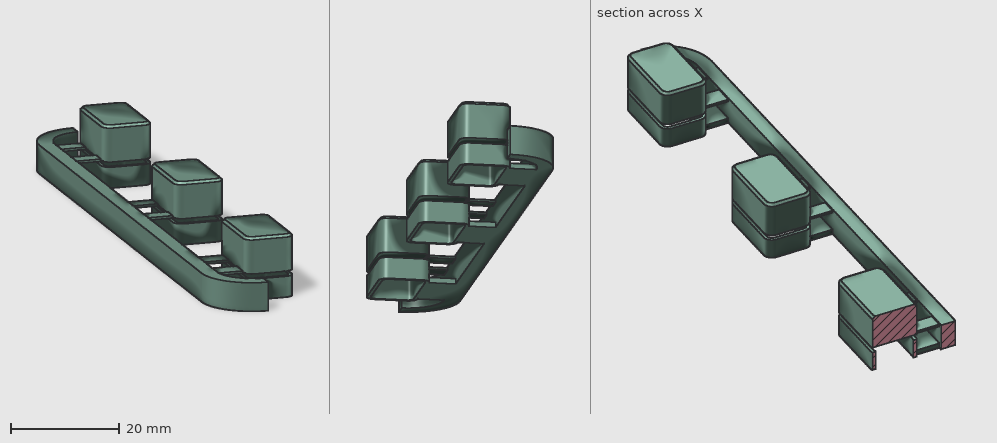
import cadquery as cq

BAR_LENGTH = 114.4
BAR_HEIGHT = 5.5
BAR_THICKNESS = 3.0
BEND_RADIUS = 9.7

TOTAL_DEPTH = 17.49
TOTAL_HEIGHT = 12.0
JAW_WIDTH = 15.4
JAW_FRONT = 8.0
JAW_CORNER_RADIUS = 1.7
TOP_CHAMFER = 0.5
LOWER_JAW_TOP = 4.0
JAW_GAP = 1.0
LOWER_JAW_WALL = 0.7

LINK_WIDTH = 11.8
STRAP_TOP = 5.25
STRAP_THICKNESS = 0.45
PLATE_THICKNESS = 1.0
LINK_OVERLAP = 0.5

CLIPS = [(-41.5, 5.85), (0.5, 5.85), (41.5, 4.5)]


def make_bar():
    """Straight bar whose ends bend back through a quarter circle."""
    end_x = BAR_LENGTH / 2
    bend_x = end_x - BEND_RADIUS
    inner_end_x = end_x - BAR_THICKNESS
    inner_radius = BEND_RADIUS - BAR_THICKNESS
    return (
        cq.Workplane("XY")
        .moveTo(-end_x, BEND_RADIUS)
        .radiusArc((-bend_x, 0), -BEND_RADIUS)
        .lineTo(bend_x, 0)
        .radiusArc((end_x, BEND_RADIUS), -BEND_RADIUS)
        .lineTo(inner_end_x, BEND_RADIUS)
        .radiusArc((bend_x, BAR_THICKNESS), inner_radius)
        .lineTo(-bend_x, BAR_THICKNESS)
        .radiusArc((-inner_end_x, BEND_RADIUS), inner_radius)
        .close()
        .extrude(BAR_HEIGHT)
    )


def make_box(x_center, width, y_min, y_max, z_min, z_max):
    """Box centred on x_center between the given Y and Z limits."""
    return (
        cq.Workplane("XY")
        .box(width, y_max - y_min, z_max - z_min, centered=(True, False, False))
        .translate((x_center, y_min, z_min))
    )


def make_rounded_block(x_center, z_min, z_max, inset=0):
    """Jaw-shaped block with rounded vertical corners, its sides moved inward by inset."""
    width = JAW_WIDTH - 2 * inset
    block = make_box(x_center, width, JAW_FRONT + inset, TOTAL_DEPTH - inset, z_min, z_max)
    return block.edges("|Z").fillet(JAW_CORNER_RADIUS - inset)


def make_upper_jaw(x_center):
    """Solid block with a chamfered top edge."""
    block = make_rounded_block(x_center, LOWER_JAW_TOP + JAW_GAP, TOTAL_HEIGHT)
    return block.faces(">Z").chamfer(TOP_CHAMFER)


def make_lower_jaw(x_center):
    """Thin-walled frame open at top and bottom."""
    opening = make_rounded_block(x_center, 0, LOWER_JAW_TOP, inset=LOWER_JAW_WALL)
    return make_rounded_block(x_center, 0, LOWER_JAW_TOP).cut(opening)


def make_link(x_center, width, z_min, z_max):
    """Flat strip running from the bar into the front of a jaw."""
    y_min = BAR_THICKNESS - LINK_OVERLAP
    y_max = JAW_FRONT + LINK_OVERLAP
    return make_box(x_center, width, y_min, y_max, z_min, z_max)


def make_clip(x_center, strap_spacing):
    """Both jaws of one clip with the links that carry them."""
    plate = make_link(x_center, LINK_WIDTH, 0, PLATE_THICKNESS)
    clip = make_upper_jaw(x_center).union(make_lower_jaw(x_center)).union(plate)

    strap_width = (LINK_WIDTH - strap_spacing) / 2
    strap_offset = (strap_spacing + strap_width) / 2
    for side in (-1, 1):
        strap_x = x_center + side * strap_offset
        strap = make_link(strap_x, strap_width, STRAP_TOP - STRAP_THICKNESS, STRAP_TOP)
        clip = clip.union(strap)
    return clip


result = make_bar()
for clip_x, clip_strap_spacing in CLIPS:
    result = result.union(make_clip(clip_x, clip_strap_spacing))